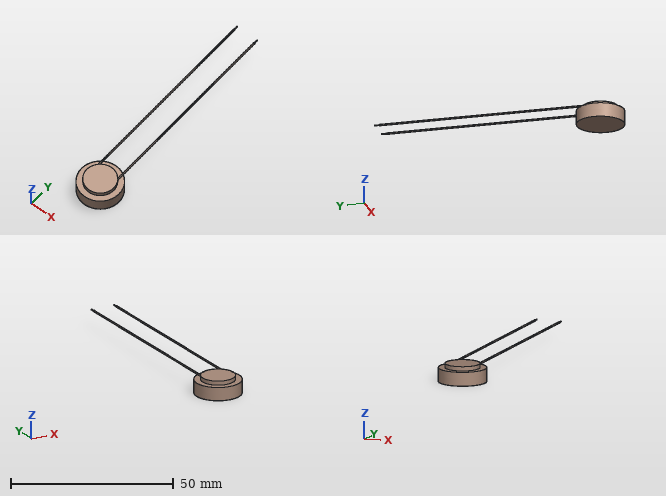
import cadquery as cq

body_diameter = 15.0
lower_height = 2.3
upper_height = 2.1
cap_diameter = 10.8
overall_height = 5.7
body_height = lower_height + upper_height
cap_height = overall_height - body_height

overall_length = 78.5
lead_spacing = 8.0
lead_diameter = 0.5
tip_diameter = 0.25
tip_length = 1.5
lead_start_y = 3.1
lead_z = body_height + cap_height / 2
tip_end_y = overall_length - body_diameter / 2
insulation_end_y = tip_end_y - tip_length


def disc(diameter, base_z, height):
    """Upright disc centred on the Z axis."""
    return cq.Workplane("XY").workplane(offset=base_z).circle(diameter / 2).extrude(height)


def rod(x, diameter, start_y, end_y):
    """Round rod parallel to Y at lead height."""
    start_plane = cq.Plane(origin=(x, start_y, lead_z), xDir=(1, 0, 0), normal=(0, 1, 0))
    return cq.Workplane(start_plane).circle(diameter / 2).extrude(end_y - start_y)


def lead(x):
    """Insulated wire with its thinner bare tip."""
    insulation = rod(x, lead_diameter, lead_start_y, insulation_end_y)
    return insulation.union(rod(x, tip_diameter, lead_start_y, tip_end_y))


result = disc(body_diameter, 0, lower_height)
result = result.union(disc(body_diameter, lower_height, upper_height), clean=False)
result = result.union(disc(cap_diameter, body_height, cap_height), clean=False)

for side in (-1, 1):
    result = result.union(lead(side * lead_spacing / 2), clean=False)